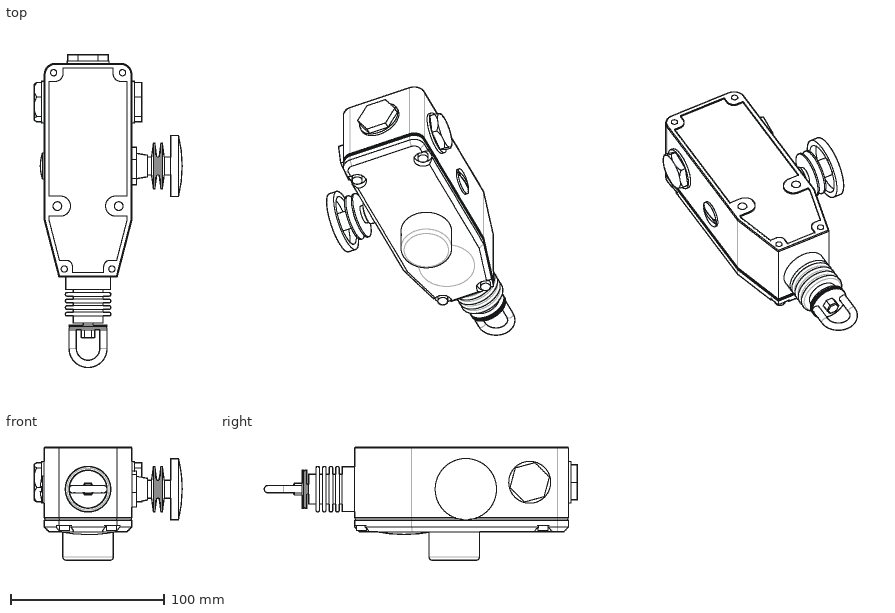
import cadquery as cq
import math


half_width = 28.5
front_half_width = 19.0
length = 139.3
taper_length = 37.1
top_z = 27.5
bottom_z = -27.7
back_corner_radius = 7.3
top_edge_chamfer = 0.6
lid_chamfer = 3.0
parting_z = -19.4
parting_step_height = 0.92
case_step_depth, lid_step_depth = 0.2, 0.5

rim_width = 3.0
recess_depth = 1.0
screw_hole_radius = 2.0
screw_hole_depth = 8.2
back_screw_x, back_screw_y = 22.5, 133.2
front_screw_x, front_screw_y = 15.5, 5.3
back_land_x, back_land_y, back_land_radius = 16.3, 127.5, 5.0
front_land_x, front_land_y, front_land_radius = 10.2, 11.0, 4.0
mount_hole_radius = 2.9
mount_hole_depth = 8.2
mount_x, mount_y = 20.0, 46.3
mount_land_radius = 6.5
mount_land_x = 18.0

lid_screw_radius = 3.3
lid_bore_radius = 6.0
lid_bore_depth = 4.0
lid_screw_sink = 0.8
lid_screw_places = [(23.5, 122.8), (15.3, 4.3)]
dome_y, dome_radius, dome_height = 32.2, 18.2, 1.8
hub_y, hub_radius, hub_end_z, hub_fillet = 64.9, 16.5, -46.3, 2.0

plug_y, plug_z = 114.0, 4.5
plug_flange_radius = 13.7
plug_flange_height = 1.6
plug_corner_radius = 13.3
plug_turn = 15.0
side_plug_height = 6.5
back_plug_height = 5.7
plug_face_radius = 11.6

control_y = 72.5
side_screw_radius, side_screw_rim, side_screw_height = 8.5, 1.2, 2.7
side_screw_slot_width, side_screw_slot_depth = 3.0, 1.6
nut_corner_radius, nut_height, nut_turn = 12.5, 3.0, 10.0
sleeve_base_radius, sleeve_tip_radius, sleeve_end = 8.4, 7.1, 10.2
knob_shaft_radius = 6.0
knob_disc_places = [14.5, 19.4]
knob_disc_radius, knob_disc_root, knob_disc_tip = 14.9, 3.5, 1.0
knob_start, knob_rim_end, knob_end = 25.3, 30.4, 32.8
knob_radius = 20.0
knob_recess_radius, knob_recess_depth = 16.3, 4.5

collar_radius, collar_length = 14.7, 8.2
bellows_core_radius, bellows_end = 9.8, 30.0
fold_first, fold_pitch, fold_count = 11.2, 4.3, 4
fold_radius, fold_thickness = 14.9, 2.5
rod_radius = 3.3
disc_start, disc_end, disc_radius = 31.2, 34.3, 12.5
disc_groove_width, disc_groove_depth = 1.0, 0.3
rope_nut_corner_radius, rope_nut_end, rope_nut_chamfer = 4.5, 39.8, 0.6
ring_wire_radius = 2.5
ring_bend_start = 46.5
ring_bend_radius = disc_radius - ring_wire_radius

OVERLAP = 1.0


def plan(inset=0.0):
    """Housing outline, wide at the back and tapered to the front, shrunk by inset."""
    slant = math.atan2(half_width - front_half_width, taper_length)
    side = half_width - inset
    front = inset
    bend = taper_length + inset * math.tan(slant / 2)
    front_side = side - (bend - front) * math.tan(slant)
    return [
        (-front_side, front), (front_side, front), (side, bend), (side, length - inset),
        (-side, length - inset), (-side, bend),
    ]


def prism(inset, z_start, height):
    """Upright block on the housing outline, with rounded back corners."""
    block = cq.Workplane("XY", origin=(0, 0, z_start)).polyline(plan(inset)).close().extrude(height)
    return block.edges("|Z").edges(">Y").fillet(back_corner_radius - inset)


def axis_plane(origin, axis):
    """Plane holding the axis: local x runs along it, local y away from it."""
    across = (0, 0, 1) if axis[2] == 0 else (1, 0, 0)
    return cq.Plane(origin, xDir=axis, normal=cq.Vector(*axis).cross(cq.Vector(*across)))


def turned(profile, origin, axis):
    """Solid of revolution: profile holds (distance along axis, radius) points from the axis out."""
    outline = cq.Workplane(axis_plane(origin, axis)).polyline(profile).close()
    return outline.revolve(360, (0, 0, 0), (1, 0, 0))


def rod(origin, axis, radius, start, end):
    """Plain cylinder between two distances along an axis."""
    return turned([(start, 0), (start, radius), (end, radius), (end, 0)], origin, axis)


def cap(origin, axis, radius, start, height):
    """Shallow spherical cap on a short plug that sinks into the face at distance start."""
    sphere_radius = (radius ** 2 + height ** 2) / (2 * height)
    half_angle = math.asin(radius / sphere_radius) / 2
    centre = start + height - sphere_radius
    arc_middle = (centre + sphere_radius * math.cos(half_angle), sphere_radius * math.sin(half_angle))
    outline = (
        cq.Workplane(axis_plane(origin, axis)).moveTo(start - OVERLAP, 0).lineTo(start - OVERLAP, radius)
        .lineTo(start, radius).threePointArc(arc_middle, (start + height, 0)).close()
    )
    return outline.revolve(360, (0, 0, 0), (1, 0, 0))


def hexagon(origin, axis, corner_direction, corner_radius, start, end):
    """Hexagonal prism along an axis with one corner pointing in corner_direction."""
    plane = cq.Plane(origin, xDir=corner_direction, normal=axis)
    return cq.Workplane(plane).workplane(offset=start).polygon(6, 2 * corner_radius).extrude(end - start)


def turned_corner(degrees):
    """Direction in the YZ plane at an angle from +Y towards +Z."""
    return (0, math.cos(math.radians(degrees)), math.sin(math.radians(degrees)))


def mirrored(places):
    """Every place together with its mirror image across X = 0."""
    return [(sign * x, y) for x, y in places for sign in (-1, 1)]


def make_recess():
    """Shallow top pocket leaving a rim and lands around every hole."""
    reach = 2 * half_width
    floor = top_z - recess_depth
    pocket = cq.Workplane("XY", origin=(0, 0, floor)).polyline(plan(rim_width)).close()
    pocket = pocket.extrude(2 * recess_depth)

    def land(x_inner, y_start, y_end, radius, edges):
        block = cq.Workplane("XY", origin=(x_inner, y_start, floor))
        block = block.box(reach, y_end - y_start, 2 * recess_depth, centered=False)
        return block.edges("|Z").edges("<X").edges(edges).fillet(radius)

    lands = land(back_land_x, back_land_y, length, back_land_radius, "<Y")
    lands = lands.union(land(front_land_x, 0, front_land_y, front_land_radius, ">Y"))
    mount_land = cq.Workplane("XY", origin=(mount_land_x + reach / 2, mount_y, floor))
    mount_land = mount_land.slot2D(reach + 2 * mount_land_radius, 2 * mount_land_radius)
    lands = lands.union(mount_land.extrude(2 * recess_depth))
    return pocket.cut(lands).cut(lands.mirror("YZ"))


def make_housing():
    """Case and lid meeting in a shallow stepped groove, with all their screw and mounting holes."""
    case_end = parting_z + parting_step_height
    lid_end = parting_z - parting_step_height
    case = prism(0, case_end, top_z - case_end).faces(">Z").chamfer(top_edge_chamfer)
    lid = prism(0, bottom_z, lid_end - bottom_z).faces("<Z").chamfer(lid_chamfer)
    body = case.union(prism(case_step_depth, parting_z, parting_step_height))
    body = body.union(prism(lid_step_depth, lid_end, parting_step_height)).union(lid)

    lid_screws = cq.Workplane("XY", origin=(0, 0, bottom_z)).pushPoints(mirrored(lid_screw_places))
    body = body.cut(lid_screws.circle(lid_bore_radius).extrude(lid_bore_depth))
    heads = lid_screws.circle(lid_screw_radius).extrude(lid_bore_depth - lid_screw_sink + OVERLAP)
    body = body.union(heads.translate((0, 0, lid_screw_sink)))

    body = body.cut(make_recess())
    top = cq.Workplane("XY", origin=(0, 0, top_z))
    screws = mirrored([(back_screw_x, back_screw_y), (front_screw_x, front_screw_y)])
    body = body.cut(top.pushPoints(screws).circle(screw_hole_radius).extrude(-screw_hole_depth))
    mounts = mirrored([(mount_x, mount_y)])
    return body.cut(top.pushPoints(mounts).circle(mount_hole_radius).extrude(-mount_hole_depth))


def make_underside():
    hub = cq.Workplane("XY", origin=(0, hub_y, hub_end_z)).circle(hub_radius)
    hub = hub.extrude(bottom_z + OVERLAP - hub_end_z).faces("<Z").edges().fillet(hub_fillet)
    return hub.union(cap((0, dome_y, bottom_z), (0, 0, -1), dome_radius, 0, dome_height))


def make_plug(origin, axis, corner_direction, height):
    """Blanking plug: round flange under a hexagonal head."""
    flange = rod(origin, axis, plug_flange_radius, -OVERLAP, plug_flange_height)
    return flange.union(hexagon(origin, axis, corner_direction, plug_corner_radius, 0, height))


def make_plugs():
    turn = turned_corner(plug_turn)
    left_at = (-half_width, plug_y, plug_z)
    left = make_plug(left_at, (-1, 0, 0), turn, side_plug_height)
    wide = plug_face_radius + side_plug_height + OVERLAP
    cone = [(-OVERLAP, 0), (-OVERLAP, wide), (side_plug_height, plug_face_radius), (side_plug_height, 0)]
    left = left.intersect(turned(cone, left_at, (-1, 0, 0)))
    right = make_plug((half_width, plug_y, plug_z), (1, 0, 0), turn, side_plug_height)
    back = make_plug((0, length, plug_z), (0, 1, 0), (1, 0, 0), back_plug_height)
    return [left, right, back]


def make_side_screw():
    origin = (-half_width, control_y, 0)
    axis = (-1, 0, 0)
    head = rod(origin, axis, side_screw_radius, -OVERLAP, side_screw_rim)
    dome_rise = side_screw_height - side_screw_rim
    head = head.union(cap(origin, axis, side_screw_radius, side_screw_rim, dome_rise))
    slot_x = -half_width - side_screw_height
    slot = cq.Workplane("XY", origin=(slot_x, control_y, 0))
    return head.cut(slot.box(2 * side_screw_slot_depth, 3 * side_screw_radius, side_screw_slot_width))


def make_knob():
    origin, axis = (half_width, control_y, 0), (1, 0, 0)
    knob = hexagon(origin, axis, turned_corner(nut_turn), nut_corner_radius, -OVERLAP, nut_height)
    knob = knob.union(turned(
        [(0, 0), (0, sleeve_base_radius), (nut_height, sleeve_base_radius),
         (sleeve_end, sleeve_tip_radius), (sleeve_end, 0)], origin, axis))
    knob = knob.union(rod(origin, axis, knob_shaft_radius, 0, knob_rim_end))
    for place in knob_disc_places:
        root, tip = knob_disc_root / 2, knob_disc_tip / 2
        disc = [(place - root, 0), (place - root, knob_shaft_radius), (place - tip, knob_disc_radius),
                (place + tip, knob_disc_radius), (place + root, knob_shaft_radius), (place + root, 0)]
        knob = knob.union(turned(disc, origin, axis))
    head = rod(origin, axis, knob_radius, knob_start, knob_rim_end)
    head = head.union(cap(origin, axis, knob_radius, knob_rim_end, knob_end - knob_rim_end))
    recess_end = knob_start + knob_recess_depth
    return knob.union(head.cut(rod(origin, axis, knob_recess_radius, knob_start, recess_end)))


def make_bellows():
    origin, axis = (0, 0, 0), (0, -1, 0)
    bellows = rod(origin, axis, collar_radius, -OVERLAP, collar_length)
    bellows = bellows.union(rod(origin, axis, bellows_core_radius, 0, bellows_end))
    fold_round = fold_thickness / 2
    fold_straight = fold_radius - fold_round
    for index in range(fold_count):
        fold_y = -(fold_first + index * fold_pitch)
        fold = cq.Workplane("XY", origin=(0, fold_y, 0)).moveTo(0, -fold_round)
        fold = fold.lineTo(fold_straight, -fold_round)
        fold = fold.threePointArc((fold_radius, 0), (fold_straight, fold_round)).lineTo(0, fold_round).close()
        bellows = bellows.union(fold.revolve(360, (0, 0, 0), (0, 1, 0)))
    return bellows


def make_pull_ring():
    origin, axis = (0, 0, 0), (0, -1, 0)
    pull = rod(origin, axis, rod_radius, bellows_end - OVERLAP, disc_end)
    groove_start = (disc_start + disc_end - disc_groove_width) / 2
    pull = pull.union(rod(origin, axis, disc_radius, disc_start, groove_start))
    pull = pull.union(rod(origin, axis, disc_radius, groove_start + disc_groove_width, disc_end))
    pull = pull.union(rod(origin, axis, disc_radius - disc_groove_depth, disc_start, disc_end))

    nut = hexagon(origin, axis, (1, 0, 0), rope_nut_corner_radius, disc_end - OVERLAP, rope_nut_end)
    pull = pull.union(nut.faces("<Y").chamfer(rope_nut_chamfer))

    leg_start = OVERLAP - disc_end
    path = (
        cq.Workplane("XY").moveTo(-ring_bend_radius, leg_start).lineTo(-ring_bend_radius, -ring_bend_start)
        .threePointArc((0, -ring_bend_start - ring_bend_radius), (ring_bend_radius, -ring_bend_start))
        .lineTo(ring_bend_radius, leg_start)
    )
    wire = cq.Workplane("XZ", origin=(-ring_bend_radius, leg_start, 0)).circle(ring_wire_radius)
    return pull.union(wire.sweep(path))


result = make_housing()
attachments = [
    make_underside(), *make_plugs(), make_side_screw(), make_knob(), make_bellows(), make_pull_ring(),
]
for attachment in attachments:
    result = result.union(attachment)